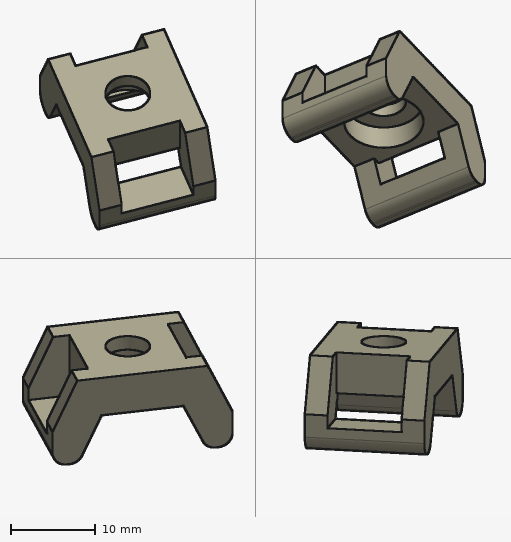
import cadquery as cq

length = 22.0
width = 14.5
height = 11.0

top_half_width = 7.99
shoulder_height = 4.55
plate_thickness = 5.0
arch_half_width = 5.0
foot_inner_half_width = 7.83
foot_radius = 1.75

slot_width = 8.95
slot_inner_x = 6.0
slot_floor = 3.0
hole_diameter = 5.28
hole_depth = 1.8
counterbore_diameter = 9.4

half_length = length / 2
plate_bottom = height - plate_thickness


def saddle_body():
    """Extruded arch with two sloping legs and rounded feet."""
    right_side = [
        (top_half_width, height),
        (half_length, shoulder_height),
        (half_length, 0),
        (foot_inner_half_width, 0),
        (arch_half_width, plate_bottom),
    ]
    left_side = [(-x, z) for x, z in reversed(right_side)]
    body = (
        cq.Workplane("XZ")
        .polyline(right_side + left_side)
        .close()
        .extrude(width / 2, both=True)
    )
    return body.faces("<Z").edges("|Y").fillet(foot_radius)


def slot_box(x_span, center_x, bottom, top):
    """Block as wide as the strap, between two heights."""
    return (
        cq.Workplane("XY", origin=(center_x, 0, bottom))
        .rect(x_span, slot_width)
        .extrude(top - bottom)
    )


def strap_slots():
    """Cutter for the strap path: through both legs below the plate, and open upward at each end."""
    passage = slot_box(length, 0, slot_floor, plate_bottom)
    end_span = half_length - slot_inner_x
    end_center = slot_inner_x + end_span / 2
    for side in (-1, 1):
        passage = passage.union(slot_box(end_span, side * end_center, slot_floor, height))
    return passage


def screw_hole():
    """Cutter for the vertical hole with a wide counterbore from below."""
    hole = cq.Workplane("XY").circle(hole_diameter / 2).extrude(height)
    counterbore = cq.Workplane("XY").circle(counterbore_diameter / 2).extrude(height - hole_depth)
    return hole.union(counterbore)


result = saddle_body().cut(strap_slots()).cut(screw_hole())